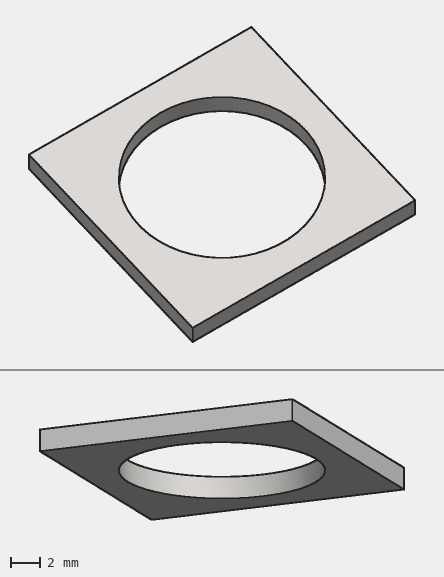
import cadquery as cq

plate_side = 19.05
plate_thickness = 1.56
hole_diameter = 14.23

plate = cq.Workplane("XY").box(plate_side, plate_side, plate_thickness)

result = plate.faces(">Z").workplane().hole(hole_diameter)